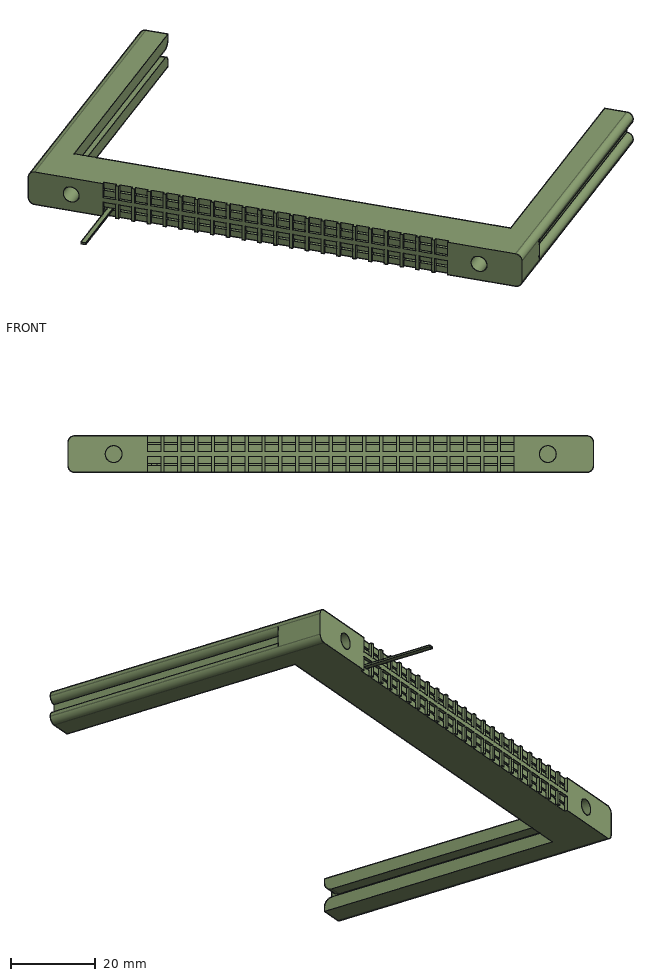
import cadquery as cq

WIDTH = 123.8
HEIGHT = 8.7
FRAME_DEPTH = 76.4
BAR_DEPTH = 11.9
ARM_WIDTH = 7.2

OUTER_GROOVE_HEIGHT = 2.1
JAW_RADIUS = 1.6

CARD_SLOT_HEIGHT = 2.1
CARD_SLOT_DEPTH = 3.1
LEAD_IN_RADIUS = 2.1

HOLE_DIAMETER = 4.0
HOLE_DEPTH = 7.4
HOLE_SPACING = 102.3

CELL_COUNT = 22
CELL_PITCH = 4.0
CELL_WALL = 0.8
CELL_WIDTH = CELL_PITCH - CELL_WALL
CELL_DEPTH = 0.7
ROW_GAP = 1.2
CELL_HEIGHT = (HEIGHT - ROW_GAP) / 2
ROW_OFFSET = (ROW_GAP + CELL_HEIGHT) / 2

CONTACT_SLOT_HEIGHT = 0.5
CONTACT_SLOT_DEPTH = 2.5

PIN_WIDTH = 1.2
PIN_PROJECTION = 17.8

CELL_XS = [(i - (CELL_COUNT - 1) / 2) * CELL_PITCH for i in range(CELL_COUNT)]
CELL_CENTERS = [(x, z) for x in CELL_XS for z in (-ROW_OFFSET, ROW_OFFSET)]
SLOT_FLOOR_Y = CELL_DEPTH + CONTACT_SLOT_DEPTH


def y_block(x_size, z_size, y_start, y_end):
    """Box centred on X and Z that runs from y_start to y_end."""
    return cq.Workplane("XY").box(x_size, y_end - y_start, z_size).translate((0, (y_start + y_end) / 2, 0))


def make_frame_blank():
    """U-shaped frame with its long outer edges rounded."""
    opening = y_block(WIDTH - 2 * ARM_WIDTH, HEIGHT, BAR_DEPTH, FRAME_DEPTH)
    blank = y_block(WIDTH, HEIGHT, 0, FRAME_DEPTH).edges("|Y").fillet(JAW_RADIUS)
    return blank.cut(opening)


def make_outer_groove():
    """Groove in the left arm's outer side: flat floor and mouth edges rounded to the jaw radius."""
    left = -WIDTH / 2
    floor = left + JAW_RADIUS
    half_floor = OUTER_GROOVE_HEIGHT / 2
    half_mouth = half_floor + JAW_RADIUS
    arc_inset = JAW_RADIUS * (1 - 0.5 ** 0.5)
    return (
        cq.Workplane("XZ", origin=(0, FRAME_DEPTH, 0))
        .moveTo(left, -half_mouth)
        .threePointArc((left + arc_inset, -half_floor - arc_inset), (floor, -half_floor))
        .lineTo(floor, half_floor)
        .threePointArc((left + arc_inset, half_floor + arc_inset), (left, half_mouth))
        .close()
        .extrude(FRAME_DEPTH - BAR_DEPTH)
    )


def make_card_slot():
    """Slot in the left arm's inner side, widening through rounded lips at its free end."""
    half_slot = CARD_SLOT_HEIGHT / 2
    half_mouth = half_slot + LEAD_IN_RADIUS
    lip_start = FRAME_DEPTH - LEAD_IN_RADIUS
    arc_inset = LEAD_IN_RADIUS * (1 - 0.5 ** 0.5)
    arc_middle = (FRAME_DEPTH - arc_inset, half_slot + arc_inset)
    return (
        cq.Workplane("YZ", origin=(-WIDTH / 2 + ARM_WIDTH - CARD_SLOT_DEPTH, 0, 0))
        .moveTo(BAR_DEPTH, -half_slot)
        .lineTo(lip_start, -half_slot)
        .threePointArc((arc_middle[0], -arc_middle[1]), (FRAME_DEPTH, -half_mouth))
        .lineTo(FRAME_DEPTH, half_mouth)
        .threePointArc(arc_middle, (lip_start, half_slot))
        .lineTo(BAR_DEPTH, half_slot)
        .close()
        .extrude(CARD_SLOT_DEPTH)
    )


def make_mounting_holes():
    return (
        cq.Workplane("XZ")
        .pushPoints([(-HOLE_SPACING / 2, 0), (HOLE_SPACING / 2, 0)])
        .circle(HOLE_DIAMETER / 2)
        .extrude(-HOLE_DEPTH)
    )


def make_cell_cuts(height, depth):
    """One rectangular cut at every cell centre, running back from the front face."""
    return cq.Workplane("XZ").pushPoints(CELL_CENTERS).rect(CELL_WIDTH, height).extrude(-depth)


def make_frame():
    frame = make_frame_blank()
    for arm_cut in (make_outer_groove(), make_card_slot()):
        frame = frame.cut(arm_cut).cut(arm_cut.mirror("YZ"))
    frame = frame.cut(make_mounting_holes())
    frame = frame.cut(make_cell_cuts(CELL_HEIGHT, CELL_DEPTH))
    return frame.cut(make_cell_cuts(CONTACT_SLOT_HEIGHT, SLOT_FLOOR_Y))


def make_contact_pin():
    pin = y_block(PIN_WIDTH, CONTACT_SLOT_HEIGHT, -PIN_PROJECTION, SLOT_FLOOR_Y)
    return pin.translate((CELL_XS[0], 0, -ROW_OFFSET))


frame = make_frame()
contact_pin = make_contact_pin()

result = cq.Compound.makeCompound([frame.val(), contact_pin.val()])